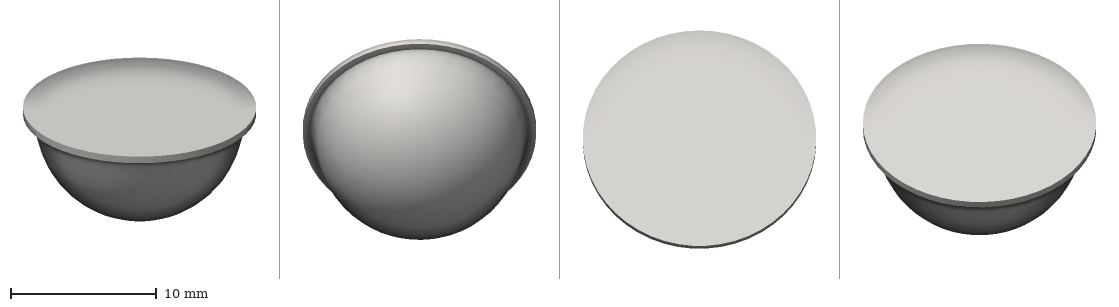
import cadquery as cq

flange_diameter = 16.0
flange_thickness = 0.5
total_height = 7.9
cone_top_radius = 7.5
cone_bottom_radius = 7.0
cone_bottom_depth = 2.22

flange_radius = flange_diameter / 2
cap_height = total_height - cone_bottom_depth
sphere_radius = (cone_bottom_radius**2 + cap_height**2) / (2 * cap_height)
sphere_center_z = sphere_radius - total_height

cap_middle_z = -(cone_bottom_depth + total_height) / 2
cap_middle_radius = (sphere_radius**2 - (cap_middle_z - sphere_center_z) ** 2) ** 0.5

half_section = (
    cq.Workplane("XZ")
    .lineTo(flange_radius, 0)
    .lineTo(flange_radius, -flange_thickness)
    .lineTo(cone_top_radius, -flange_thickness)
    .lineTo(cone_bottom_radius, -cone_bottom_depth)
    .threePointArc((cap_middle_radius, cap_middle_z), (0, -total_height))
    .close()
)

result = half_section.revolve(360, (0, 0, 0), (0, 1, 0))